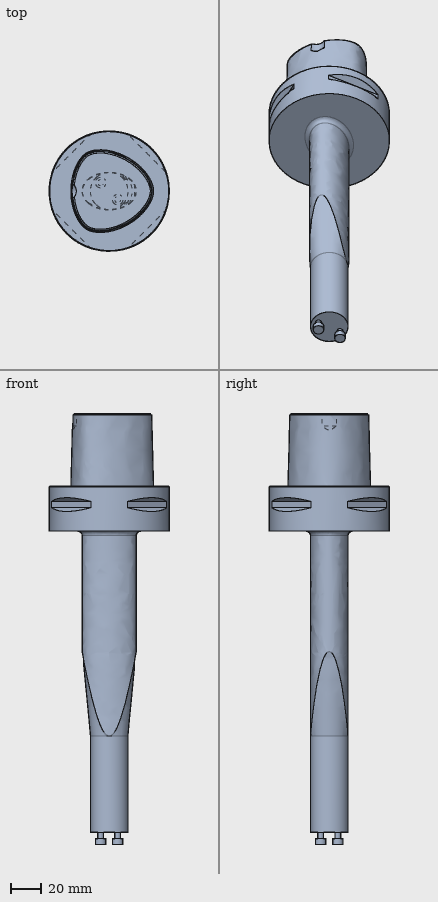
import cadquery as cq
import math


SHANK_LENGTH = 48.0
SHANK_BASE_RADIUS = 27.5
LOBE_HEIGHT = 2.0
SHANK_TAPER = 1 / 40
SHANK_TOP_RADIUS = SHANK_BASE_RADIUS - SHANK_LENGTH * SHANK_TAPER
SHANK_CHAMFER = 1.0
SECTION_POINTS = 48

NOTCH_RADIUS = 5.8
NOTCH_FLOOR_X = -21.8
NOTCH_DEPTH = 8.0
NOTCH_AXIS_X = NOTCH_FLOOR_X - NOTCH_RADIUS

FLANGE_DIAMETER = 80.0
FLANGE_HEIGHT = 30.0
FLANGE_CHAMFER = 0.5
GROOVE_FLOOR_DISTANCE = 35.5
GROOVE_FLOOR_WIDTH = 4.0
GROOVE_FLANK_ANGLE = 30.0
GROOVE_CENTRE_Z = -12.3
GROOVE_ANGLES = (45, 135, 225, 315)

NECK_WIDTH = 36.0
BAR_DIAMETER = 25.0
NECK_LENGTH = 136.0
RUNOUT_LENGTH = 56.0
ENVELOPE_SEAM_ANGLE = 45.0
NECK_FILLET = 3.0
BAR_LENGTH = 64.0

STUD_CIRCLE_RADIUS = 8.0
STUD_ANGLES = (135, 315)
STUD_DIAMETER = 4.0
STUD_LENGTH = 4.0
STUD_HEAD_DIAMETER = 7.0
STUD_HEAD_HEIGHT = 4.0

FLANGE_BOTTOM_Z = -FLANGE_HEIGHT
NECK_BOTTOM_Z = FLANGE_BOTTOM_Z - NECK_LENGTH
BAR_BOTTOM_Z = NECK_BOTTOM_Z - BAR_LENGTH


def lobed_point(mean_radius, angle):
    """Point on a three-lobed curve of constant width with one lobe along +X."""
    x = (mean_radius * math.cos(angle)
         + 2 * LOBE_HEIGHT * math.cos(2 * angle)
         - LOBE_HEIGHT * math.cos(4 * angle))
    y = (mean_radius * math.sin(angle)
         - 2 * LOBE_HEIGHT * math.sin(2 * angle)
         - LOBE_HEIGHT * math.sin(4 * angle))
    return x, y


def lobed_points(mean_radius):
    step = 2 * math.pi / SECTION_POINTS
    return [lobed_point(mean_radius, i * step) for i in range(SECTION_POINTS)]


def make_shank():
    shank = (
        cq.Workplane("XY")
        .spline(lobed_points(SHANK_BASE_RADIUS), periodic=True).close()
        .workplane(offset=SHANK_LENGTH)
        .spline(lobed_points(SHANK_TOP_RADIUS), periodic=True).close()
        .loft(ruled=True)
    )
    shank = shank.faces(">Z").edges().chamfer(SHANK_CHAMFER)
    return shank.cut(make_notch())


def make_notch():
    """Round vertical pocket with a 45 degree conical bottom, open at the shank top."""
    wall_bottom_z = SHANK_LENGTH - NOTCH_DEPTH
    profile = (
        cq.Workplane("XZ")
        .moveTo(0, SHANK_LENGTH)
        .lineTo(NOTCH_RADIUS, SHANK_LENGTH)
        .lineTo(NOTCH_RADIUS, wall_bottom_z)
        .lineTo(0, wall_bottom_z - NOTCH_RADIUS)
        .close()
    )
    return profile.revolve(360, (0, 0, 0), (0, 1, 0)).translate((NOTCH_AXIS_X, 0, 0))


def make_flange_with_neck():
    flange = (
        cq.Workplane("XY").circle(FLANGE_DIAMETER / 2).extrude(-FLANGE_HEIGHT)
        .faces(">Z").edges().chamfer(FLANGE_CHAMFER)
    )
    body = flange.union(make_neck())
    body = body.faces("|Z").faces("<Z[1]").edges("not %CIRCLE").fillet(NECK_FILLET)
    groove = make_groove()
    for angle in GROOVE_ANGLES:
        body = body.cut(groove.rotate((0, 0, 0), (0, 0, 1), angle))
    return body


def make_groove():
    """Cutter for the gripper groove on the +X side, with a flat floor and sloped flanks."""
    outer_x = FLANGE_DIAMETER / 2
    floor_half = GROOVE_FLOOR_WIDTH / 2
    flank_rise = (outer_x - GROOVE_FLOOR_DISTANCE) * math.tan(math.radians(GROOVE_FLANK_ANGLE))
    mouth_half = floor_half + flank_rise
    return (
        cq.Workplane("XZ")
        .moveTo(GROOVE_FLOOR_DISTANCE, GROOVE_CENTRE_Z - floor_half)
        .lineTo(outer_x, GROOVE_CENTRE_Z - mouth_half)
        .lineTo(outer_x, GROOVE_CENTRE_Z + mouth_half)
        .lineTo(GROOVE_FLOOR_DISTANCE, GROOVE_CENTRE_Z + floor_half)
        .close()
        .extrude(outer_x, both=True)
    )


def make_neck():
    """Elliptical column trimmed at its lower end by a cone that narrows to the bar."""
    column = (
        cq.Workplane("XY", origin=(0, 0, FLANGE_BOTTOM_Z))
        .ellipse(NECK_WIDTH / 2, BAR_DIAMETER / 2)
        .extrude(-NECK_LENGTH)
    )
    runout_slope = (NECK_WIDTH - BAR_DIAMETER) / 2 / RUNOUT_LENGTH
    envelope_top_radius = BAR_DIAMETER / 2 + runout_slope * NECK_LENGTH
    envelope = (
        cq.Workplane("XY", origin=(0, 0, NECK_BOTTOM_Z))
        .circle(BAR_DIAMETER / 2)
        .workplane(offset=NECK_LENGTH)
        .circle(envelope_top_radius)
        .loft(ruled=True)
        .rotate((0, 0, 0), (0, 0, 1), ENVELOPE_SEAM_ANGLE)
    )
    return column.intersect(envelope)


def make_bar():
    return (
        cq.Workplane("XY", origin=(0, 0, NECK_BOTTOM_Z))
        .circle(BAR_DIAMETER / 2)
        .extrude(-BAR_LENGTH)
    )


def make_stud(angle):
    x = STUD_CIRCLE_RADIUS * math.cos(math.radians(angle))
    y = STUD_CIRCLE_RADIUS * math.sin(math.radians(angle))
    pin = (
        cq.Workplane("XY", origin=(x, y, BAR_BOTTOM_Z))
        .circle(STUD_DIAMETER / 2)
        .extrude(-STUD_LENGTH)
    )
    head = (
        cq.Workplane("XY", origin=(x, y, BAR_BOTTOM_Z - STUD_LENGTH))
        .circle(STUD_HEAD_DIAMETER / 2)
        .extrude(-STUD_HEAD_HEIGHT)
    )
    return pin.union(head)


result = make_flange_with_neck().union(make_shank()).union(make_bar())
for stud_angle in STUD_ANGLES:
    result = result.union(make_stud(stud_angle))